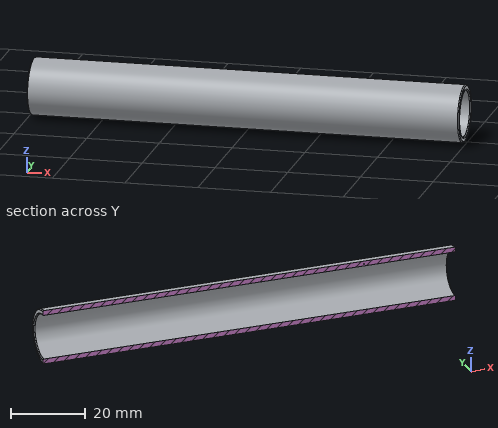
import cadquery as cq

length = 118.8
outer_diameter = 15.7
bore_diameter = 12.6
edge_break = 0.3

tube = (
    cq.Workplane("YZ", origin=(-length / 2, 0, 0))
    .circle(outer_diameter / 2)
    .circle(bore_diameter / 2)
    .extrude(length)
)

result = tube.faces("<X or >X").edges().chamfer(edge_break)